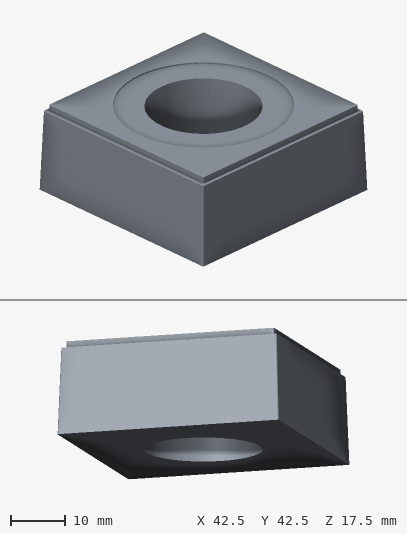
import cadquery as cq
import math

base_side = 42.5
total_height = 17.5
pad_height = 1.28
body_height = total_height - pad_height
wall_inset = 0.55
draft_angle = math.degrees(math.atan(wall_inset / body_height))

ledge_width = 0.72
pad_side = base_side - 2 * (wall_inset + ledge_width)
corner_radius = 0.25

bore_diameter = 21.6
recess_diameter = 33.05
recess_depth = 0.25


def make_body():
    """Square block with drafted walls and rounded corner edges."""
    block = cq.Workplane("XY").rect(base_side, base_side).extrude(body_height, taper=draft_angle)
    corner_edges = block.edges("not(#Z)")
    return corner_edges.fillet(corner_radius)


def make_pad():
    """Straight-sided pad with rounded corners."""
    pad = cq.Workplane("XY").workplane(offset=body_height).rect(pad_side, pad_side).extrude(pad_height)
    return pad.edges("|Z").fillet(corner_radius)


result = (
    make_body()
    .union(make_pad())
    .faces(">Z")
    .workplane(origin=(0, 0, total_height))
    .cboreHole(bore_diameter, recess_diameter, recess_depth)
)